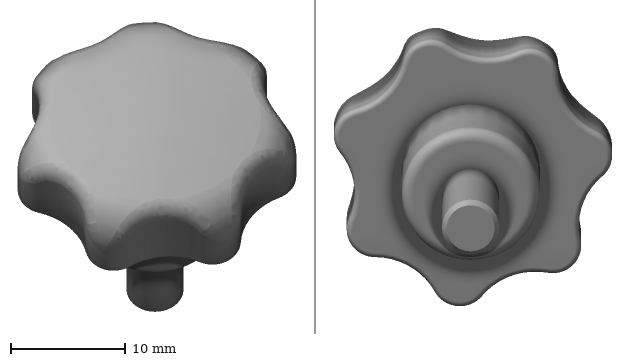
import cadquery as cq
import math

LOBE_COUNT = 7
LOBE_PITCH = 2 * math.pi / LOBE_COUNT
HEAD_RADIUS = 12.5
HEAD_HEIGHT = 8.0
LOBE_RADIUS = 2.5
VALLEY_RADIUS = 6.0
DOME_RADIUS = 46.8
SHOULDER_RADIUS = 4.0
VALLEY_EDGE_RADIUS = 1.5
HEAD_BOTTOM_FILLET = 0.5

BOSS_TOP_RADIUS = 6.09
BOSS_HEIGHT = 8.0
BOSS_DRAFT = 0.5
BOSS_FILLET = 1.0

STUD_RADIUS = 2.5
STUD_LENGTH = 10.0
STUD_CHAMFER = 0.4

HEAD_BOTTOM = BOSS_HEIGHT
HEAD_TOP = HEAD_BOTTOM + HEAD_HEIGHT


def polar(radius, angle):
    """Point at the given distance and angle from the Z axis."""
    return (radius * math.cos(angle), radius * math.sin(angle))


def lobe_outline():
    """Closed wire of lobe arcs joined tangentially by concave valley arcs."""
    lobe_distance = HEAD_RADIUS - LOBE_RADIUS
    half_pitch = LOBE_PITCH / 2

    lobe_x, lobe_y = polar(lobe_distance, half_pitch)
    centre_spacing = VALLEY_RADIUS + LOBE_RADIUS
    valley_centre = lobe_x + math.sqrt(centre_spacing**2 - lobe_y**2)
    valley_bottom = valley_centre - VALLEY_RADIUS

    reach = VALLEY_RADIUS / centre_spacing
    joint_x = valley_centre + (lobe_x - valley_centre) * reach
    joint_y = lobe_y * reach
    joint_distance = math.hypot(joint_x, joint_y)
    joint_angle = math.atan2(joint_y, joint_x)

    outline = cq.Workplane("XY", origin=(0, 0, HEAD_BOTTOM))
    outline = outline.moveTo(*polar(joint_distance, -joint_angle))
    for index in range(LOBE_COUNT):
        valley_angle = index * LOBE_PITCH
        outline = outline.threePointArc(
            polar(valley_bottom, valley_angle),
            polar(joint_distance, valley_angle + joint_angle),
        )
        outline = outline.threePointArc(
            polar(HEAD_RADIUS, valley_angle + half_pitch),
            polar(joint_distance, valley_angle + LOBE_PITCH - joint_angle),
        )
    return outline.close()


def domed_blank():
    """Turned blank whose dome runs tangentially into the rounded shoulder."""
    dome_centre = HEAD_TOP - DOME_RADIUS
    shoulder_centre_x = HEAD_RADIUS - SHOULDER_RADIUS
    dome_end_angle = math.asin(shoulder_centre_x / (DOME_RADIUS - SHOULDER_RADIUS))
    shoulder_centre_z = dome_centre + (DOME_RADIUS - SHOULDER_RADIUS) * math.cos(dome_end_angle)

    def on_dome(angle):
        return (DOME_RADIUS * math.sin(angle), dome_centre + DOME_RADIUS * math.cos(angle))

    middle_angle = (dome_end_angle + math.pi / 2) / 2
    shoulder_middle = (
        shoulder_centre_x + SHOULDER_RADIUS * math.sin(middle_angle),
        shoulder_centre_z + SHOULDER_RADIUS * math.cos(middle_angle),
    )
    return (
        cq.Workplane("XZ")
        .moveTo(0, HEAD_BOTTOM)
        .lineTo(HEAD_RADIUS, HEAD_BOTTOM)
        .lineTo(HEAD_RADIUS, shoulder_centre_z)
        .threePointArc(shoulder_middle, on_dome(dome_end_angle))
        .threePointArc(on_dome(dome_end_angle / 2), (0, HEAD_TOP))
        .close()
        .revolve(360, (0, 0, 0), (0, 1, 0))
    )


def head_with_lobes():
    """Lobed head with its valley edges and its underside rounded."""
    lobes = lobe_outline().extrude(HEAD_HEIGHT).faces("<Z").edges().fillet(HEAD_BOTTOM_FILLET)
    blank = domed_blank().rotate((0, 0, 0), (0, 0, 1), 180)
    head = lobes.intersect(blank)
    return head.edges("%BSPLINE").fillet(VALLEY_EDGE_RADIUS)


def boss():
    """Slightly tapered boss below the head with a rounded lower rim."""
    return (
        cq.Workplane("XY", origin=(0, 0, HEAD_BOTTOM))
        .circle(BOSS_TOP_RADIUS)
        .extrude(-BOSS_HEIGHT, taper=BOSS_DRAFT)
        .faces("<Z")
        .edges()
        .fillet(BOSS_FILLET)
    )


def make_knob():
    """One-piece knob: lobed head and boss."""
    return head_with_lobes().union(boss())


def make_stud():
    """Stud standing on the underside of the boss, chamfered at its free end."""
    return (
        cq.Workplane("XY")
        .circle(STUD_RADIUS)
        .extrude(-STUD_LENGTH)
        .faces("<Z")
        .chamfer(STUD_CHAMFER)
    )


knob = make_knob()
stud = make_stud()

result = cq.Compound.makeCompound([*knob.solids().vals(), *stud.solids().vals()])